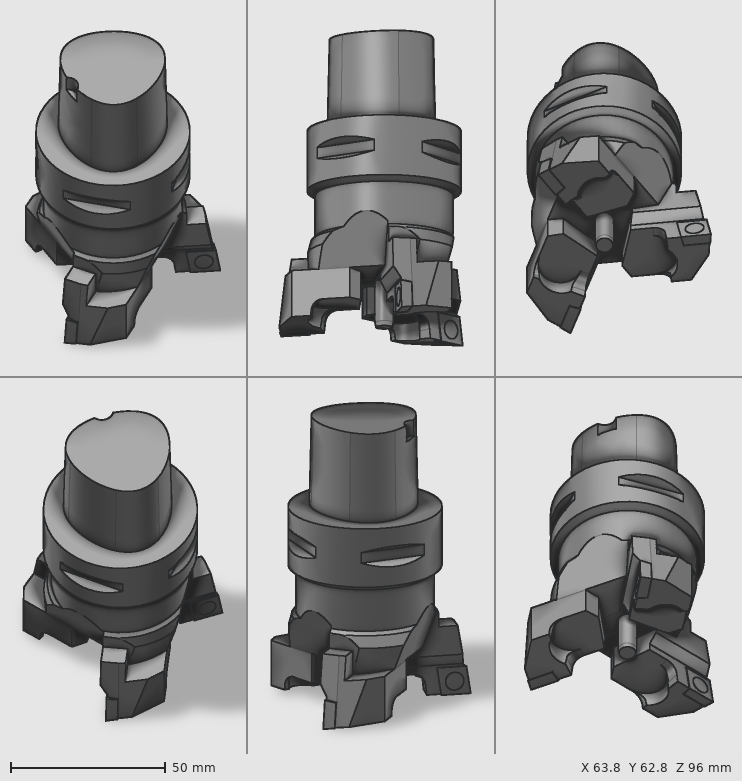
import cadquery as cq
import math

TOTAL_HEIGHT = 96.0

SHANK_RADIUS = 17.6
SHANK_LOBE = 1.1
SHANK_TAPER = 0.7
LOBE_HALF_SPAN = 29
CURVE_STEPS = 8
NOTCH_DIAMETER = 7.5
NOTCH_DEPTH = 5.5
NOTCH_AXIS_Y = -17.6

FLANGE_TOP = 66.0
FLANGE_BOTTOM = 46.1
FLANGE_RADIUS = 50.0 / 2
FLANGE_CHAMFER_HEIGHT = 1.6
NECK_RADIUS = 45.0 / 2
NECK_BOTTOM = 30.3

GROOVE_COUNT = 4
FIRST_GROOVE_ANGLE = 45.0
GROOVE_Z = 56.1
GROOVE_FLOOR_RADIUS = 22.4
GROOVE_FLOOR_WIDTH = 3.6
GROOVE_MOUTH_WIDTH = 7.0

HUB_SHOULDER_Z = 29.2
HUB_SHOULDER_RADIUS = 23.8
HUB_WIDEST_Z = 25.2
HUB_WIDEST_RADIUS = 24.9
HUB_BOTTOM = 16.0
HUB_BOTTOM_RADIUS = 24.3
HUB_FLAT_RADIUS = 23.8
HUB_FLAT_WIDTH = 23.0

TOOTH_ANGLES = [180.0, 303.7, 63.7]
TOOTH_TOP = 24.1
CHIP_FACE_Y = -3.2
CHIP_SEAT_Y = -0.8
CHIP_STEP_TOP = 14.2
CHIP_STEP_BOTTOM = 10.3
BACK_FACE_Y = 17.1
BACK_CORNER_X = 26.5
BACK_CHAMFER_ANGLE = 35.0
INNER_BACK_X = 7.0
INNER_CORNER = (4.4, 12.6)
INNER_CHIP_X = 9.4
TIP_TOP_X = 30.1
TIP_LEAN = 9.5
TIP_RELIEF = 8.3
RELIEF_START_Y = 2.9
LEDGE_START_Y = 4.9
LEDGE_LOW_Z = HUB_BOTTOM
LEDGE_HIGH_Z = 17.6
HEEL_Z = 0.4
HEEL_RISE = 6.2
ARCH_BOTTOM_X = 20.4
ARCH_SPRING_X = 20.0
ARCH_SPRING_Z = 3.5
ARCH_TOP = 7.6
BOLT_RELIEF_X = 15.6
BOLT_RELIEF_Y = 9.5
BOLT_RELIEF_RADIUS = 7.2
FLUTE_LEAN = 17.4
FLUTE_TOP = 40.3
REACH = 43.2

INSERT_FACE_Y = -1.1
INSERT_THICKNESS = 3.7
INSERT_HEIGHT = 9.4
INSERT_WIDTH = 9.8
INSERT_TIP_X = 34.9
INSERT_LEAN = 8.7
INSERT_CLEARANCE = 8.0
SCREW_DIAMETER = 6.0
SCREW_X = 29.6
SCREW_Z = 4.5

STUD_DIAMETER = 6.0
STUD_BOTTOM = 0.9
STUD_CHAMFER_HEIGHT = 1.6
STUD_CHAMFER = 0.3


def tan(degrees):
    return math.tan(math.radians(degrees))


def about_axis(shape, angle):
    """Turn a shape built along +X to its place around the spindle axis."""
    return shape.rotate((0, 0, 0), (0, 0, 1), angle)


def shank_point(radius, degrees, z):
    """Point of the rounded triangle whose first lobe points along +Y."""
    t = math.radians(degrees)
    outward = radius * math.cos(t) + SHANK_LOBE * math.cos(2 * t)
    sideways = radius * math.sin(t) - SHANK_LOBE * math.sin(2 * t)
    return cq.Vector(-sideways, outward, z)


def shank_wire(radius, z):
    edges = []
    for lobe_centre in (0, 120, 240):
        lobe_start = lobe_centre - LOBE_HALF_SPAN
        lobe_end = lobe_centre + LOBE_HALF_SPAN
        next_lobe_start = lobe_start + 120
        for start, end in ((lobe_start, lobe_end), (lobe_end, next_lobe_start)):
            step = (end - start) / CURVE_STEPS
            angles = [start + step * i for i in range(CURVE_STEPS + 1)]
            edges.append(cq.Edge.makeSpline([shank_point(radius, a, z) for a in angles]))
    return cq.Wire.assembleEdges(edges)


def make_shank():
    bottom = shank_wire(SHANK_RADIUS, FLANGE_TOP)
    top = shank_wire(SHANK_RADIUS - SHANK_TAPER, TOTAL_HEIGHT)
    shank = cq.Workplane(cq.Solid.makeLoft([bottom, top], True))
    notch = (
        cq.Workplane("XY", origin=(0, NOTCH_AXIS_Y, TOTAL_HEIGHT - NOTCH_DEPTH))
        .circle(NOTCH_DIAMETER / 2)
        .extrude(NOTCH_DEPTH)
    )
    return shank.cut(notch)


def make_turned_body():
    profile = [
        (0, HUB_BOTTOM),
        (HUB_BOTTOM_RADIUS, HUB_BOTTOM),
        (HUB_WIDEST_RADIUS, HUB_WIDEST_Z),
        (HUB_SHOULDER_RADIUS, HUB_SHOULDER_Z),
        (NECK_RADIUS, NECK_BOTTOM),
        (NECK_RADIUS, FLANGE_BOTTOM - FLANGE_CHAMFER_HEIGHT),
        (FLANGE_RADIUS, FLANGE_BOTTOM),
        (FLANGE_RADIUS, FLANGE_TOP),
        (0, FLANGE_TOP),
    ]
    return cq.Workplane("XZ").polyline(profile).close().revolve(360, (0, 0, 0), (0, 1, 0))


def gripper_groove(angle):
    half_floor = GROOVE_FLOOR_WIDTH / 2
    half_mouth = GROOVE_MOUTH_WIDTH / 2
    groove = (
        cq.Workplane("XZ", origin=(0, 0, GROOVE_Z))
        .polyline([
            (GROOVE_FLOOR_RADIUS, -half_floor),
            (FLANGE_RADIUS, -half_mouth),
            (FLANGE_RADIUS, half_mouth),
            (GROOVE_FLOOR_RADIUS, half_floor),
        ])
        .close()
        .extrude(FLANGE_RADIUS, both=True)
    )
    return about_axis(groove, angle)


def flute(angle, next_angle):
    """Space between the back of one tooth and the chip face of the next."""
    lean_height = FLUTE_TOP - LEDGE_HIGH_Z
    behind_back = (
        cq.Workplane("YZ")
        .polyline([
            (LEDGE_START_Y, 0),
            (LEDGE_START_Y, LEDGE_LOW_Z),
            (BACK_FACE_Y, LEDGE_HIGH_Z),
            (BACK_FACE_Y + lean_height * tan(FLUTE_LEAN), FLUTE_TOP),
            (REACH, FLUTE_TOP),
            (REACH, 0),
        ])
        .close()
        .extrude(REACH, both=True)
    )
    before_chip_face = (
        cq.Workplane("XY")
        .box(2 * REACH, REACH, 2 * REACH)
        .translate((0, CHIP_FACE_Y - REACH / 2, 0))
    )
    return about_axis(behind_back, angle).intersect(about_axis(before_chip_face, next_angle))


def hub_flat(angle):
    flat = (
        cq.Workplane("XY", origin=(0, 0, HUB_BOTTOM))
        .rect(REACH, HUB_FLAT_WIDTH)
        .extrude(HUB_SHOULDER_Z - HUB_BOTTOM)
        .translate((HUB_FLAT_RADIUS + REACH / 2, 0, 0))
    )
    return about_axis(flat, angle)


def tip_envelope():
    """Block whose outer end leans outwards towards the bottom."""
    return (
        cq.Workplane("XZ")
        .polyline([
            (0, 0),
            (TIP_TOP_X + TOOTH_TOP * tan(TIP_LEAN), 0),
            (TIP_TOP_X, TOOTH_TOP),
            (0, TOOTH_TOP),
        ])
        .close()
        .extrude(REACH, both=True)
    )


def tooth_plan():
    chamfer_end_x = BACK_CORNER_X + (BACK_FACE_Y - CHIP_FACE_Y) * tan(BACK_CHAMFER_ANGLE)
    return (
        cq.Workplane("XY")
        .polyline([
            (INNER_CHIP_X, CHIP_FACE_Y),
            (chamfer_end_x, CHIP_FACE_Y),
            (BACK_CORNER_X, BACK_FACE_Y),
            (INNER_BACK_X, BACK_FACE_Y),
            INNER_CORNER,
        ])
        .close()
        .extrude(TOOTH_TOP)
    )


def tooth_side_profile():
    """Section across the tooth: chip step, block top, rear ledge and rising heel."""
    return (
        cq.Workplane("YZ")
        .polyline([
            (CHIP_SEAT_Y, HEEL_Z + CHIP_SEAT_Y * tan(HEEL_RISE)),
            (CHIP_SEAT_Y, CHIP_STEP_BOTTOM),
            (CHIP_FACE_Y, CHIP_STEP_TOP),
            (CHIP_FACE_Y, TOOTH_TOP),
            (LEDGE_START_Y, TOOTH_TOP),
            (LEDGE_START_Y, LEDGE_LOW_Z),
            (BACK_FACE_Y, LEDGE_HIGH_Z),
            (BACK_FACE_Y, HEEL_Z + BACK_FACE_Y * tan(HEEL_RISE)),
        ])
        .close()
        .extrude(REACH)
    )


def arch():
    """Opening under the inner part of the tooth, arched at its outer end."""
    radius = ARCH_TOP - ARCH_SPRING_Z
    return (
        cq.Workplane("XZ")
        .moveTo(0, 0)
        .lineTo(ARCH_BOTTOM_X, 0)
        .lineTo(ARCH_SPRING_X, ARCH_SPRING_Z)
        .radiusArc((ARCH_SPRING_X - radius, ARCH_TOP), -radius)
        .lineTo(0, ARCH_TOP)
        .close()
        .extrude(REACH, both=True)
    )


def bolt_relief():
    return (
        cq.Workplane("XY")
        .center(BOLT_RELIEF_X, BOLT_RELIEF_Y)
        .circle(BOLT_RELIEF_RADIUS)
        .extrude(ARCH_TOP)
    )


def make_tooth():
    relief_axis = (TIP_TOP_X + TOOTH_TOP * tan(TIP_LEAN), RELIEF_START_Y)
    relieved = tip_envelope().rotate((*relief_axis, 0), (*relief_axis, 1), TIP_RELIEF)
    blank = tooth_plan().intersect(tooth_side_profile())
    return blank.intersect(tip_envelope()).intersect(relieved).cut(arch()).cut(bolt_relief())


def insert_outline(inset):
    """Corners of the insert's parallelogram, moved inwards by the inset on every side."""
    side_inset = inset / math.cos(math.radians(INSERT_LEAN))
    low_z = inset
    high_z = INSERT_HEIGHT - inset
    width = INSERT_WIDTH - 2 * side_inset
    low_x = INSERT_TIP_X - low_z * tan(INSERT_LEAN) - side_inset
    high_x = INSERT_TIP_X - high_z * tan(INSERT_LEAN) - side_inset
    return [(low_x, low_z), (high_x, high_z), (high_x - width, high_z), (low_x - width, low_z)]


def make_insert():
    return (
        cq.Workplane("XZ", origin=(0, INSERT_FACE_Y, 0))
        .polyline(insert_outline(0))
        .close()
        .workplane(offset=-INSERT_THICKNESS)
        .polyline(insert_outline(INSERT_THICKNESS * tan(INSERT_CLEARANCE)))
        .close()
        .loft(ruled=True)
    )


def make_screw():
    return (
        cq.Workplane("XZ", origin=(SCREW_X, INSERT_FACE_Y, SCREW_Z))
        .circle(SCREW_DIAMETER / 2)
        .extrude(-INSERT_THICKNESS)
    )


def make_stud():
    radius = STUD_DIAMETER / 2
    return (
        cq.Workplane("XZ")
        .polyline([
            (0, STUD_BOTTOM),
            (radius - STUD_CHAMFER, STUD_BOTTOM),
            (radius, STUD_BOTTOM + STUD_CHAMFER_HEIGHT),
            (radius, HUB_BOTTOM),
            (0, HUB_BOTTOM),
        ])
        .close()
        .revolve(360, (0, 0, 0), (0, 1, 0))
    )


holder = make_turned_body()
for i in range(GROOVE_COUNT):
    holder = holder.cut(gripper_groove(FIRST_GROOVE_ANGLE + i * 360 / GROOVE_COUNT))
for i, tooth_angle in enumerate(TOOTH_ANGLES):
    following_angle = TOOTH_ANGLES[(i + 1) % len(TOOTH_ANGLES)]
    holder = holder.cut(flute(tooth_angle, following_angle))
    holder = holder.cut(hub_flat(tooth_angle))
holder = holder.union(make_shank()).union(make_stud())

pocketed_tooth = make_tooth().cut(make_insert())
drilled_insert = make_insert().cut(make_screw())
inserts = []
screws = []
for tooth_angle in TOOTH_ANGLES:
    holder = holder.union(about_axis(pocketed_tooth, tooth_angle))
    inserts.append(about_axis(drilled_insert, tooth_angle).val())
    screws.append(about_axis(make_screw(), tooth_angle).val())

result = cq.Compound.makeCompound([holder.val(), *inserts, *screws])